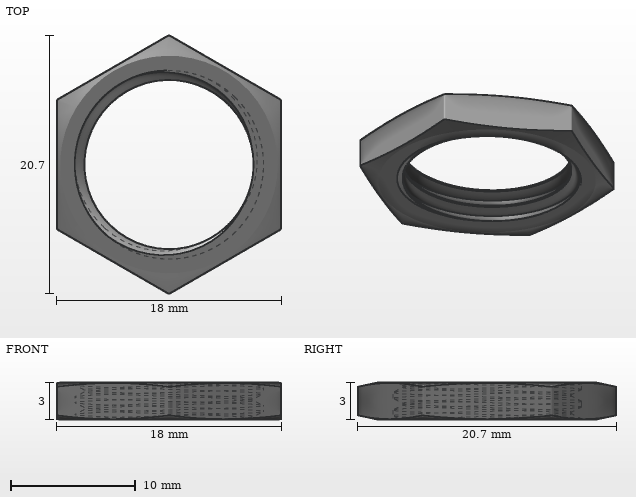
import cadquery as cq
import math

across_flats = 18.0
thickness = 3.0
corner_fillet = 0.2

bevel_circle_radius = 8.73
bevel_angle = 12.0

bore_radius = 6.78
root_radius = 7.57
pitch = 1.41
root_flat = 0.46
crest_flat = 0.15
root_angle = 171.0
turns_below_top = 3
turns_total = 4


def hexagonal_blank():
    """Hexagonal prism with corners on the Y axis and rounded vertical edges."""
    across_corners = across_flats / math.cos(math.radians(30))
    prism = cq.Workplane("XY").polygon(6, across_corners).extrude(thickness)
    return prism.edges("|Z").fillet(corner_fillet).rotate((0, 0, 0), (0, 0, 1), 30)


def bevel_envelope():
    """Disc with a shallow cone on each side; its overlap with the hexagon bevels the corners."""
    rim_radius = across_flats / math.sqrt(3)
    drop = (rim_radius - bevel_circle_radius) * math.tan(math.radians(bevel_angle))
    profile = [
        (0, 0),
        (bevel_circle_radius, 0),
        (rim_radius, drop),
        (rim_radius, thickness - drop),
        (bevel_circle_radius, thickness),
        (0, thickness),
    ]
    return cq.Workplane("XZ").polyline(profile).close().revolve(360, (0, 0), (0, 1))


def thread_groove():
    """Trapezoidal helical groove that runs out through both faces."""
    overlap = 0.3
    inner_radius = bore_radius - overlap
    half_root = root_flat / 2
    half_mouth = (pitch - crest_flat) / 2
    profile = [
        (inner_radius, -half_mouth),
        (bore_radius, -half_mouth),
        (root_radius, -half_root),
        (root_radius, half_root),
        (bore_radius, half_mouth),
        (inner_radius, half_mouth),
    ]
    helix = cq.Wire.makeHelix(pitch, turns_total * pitch, bore_radius)
    groove = cq.Workplane("XZ").polyline(profile).close().sweep(cq.Workplane(helix), isFrenet=True)
    start_height = thickness - turns_below_top * pitch
    return groove.rotate((0, 0, 0), (0, 0, 1), root_angle).translate((0, 0, start_height))


body = hexagonal_blank().intersect(bevel_envelope())
bore = cq.Workplane("XY").circle(bore_radius).extrude(thickness)
result = body.cut(bore).cut(thread_groove())